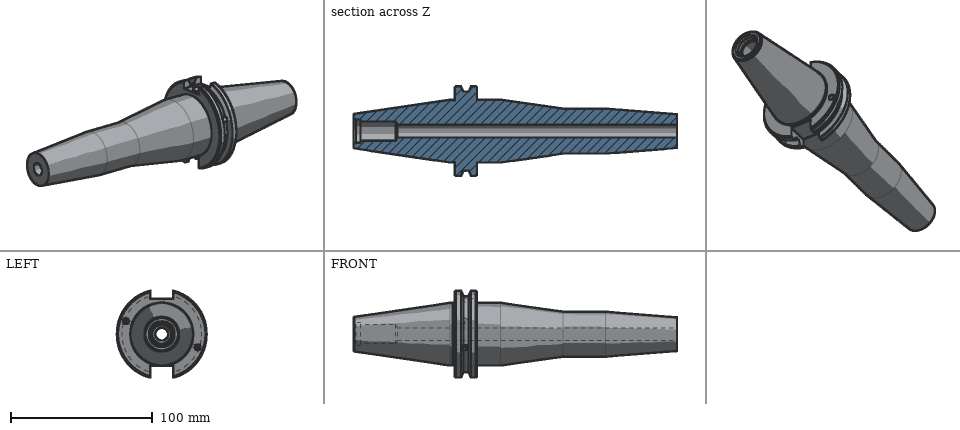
import cadquery as cq
import math

total_length = 228.2
taper_end = 68.2
neck_start = 69.8
flange_start = 71.5
groove_centre = 79.5
flange_end = 87.2
body_end = 103.9
shank_start = 148.0
shank_end = 177.8

taper_small_dia = 24.7
body_dia = 44.5
neck_dia = 43.5
flange_dia = 63.5
groove_dia = 56.1
shank_dia = 32.0
nose_dia = 24.0

end_chamfer = 1.0
flange_chamfer = 1.0
groove_mouth_width = 7.0
groove_floor_width = 3.7

slot_width = 16.2
upper_slot_floor = 25.0
lower_slot_floor = 22.4
dimple_dia = 9.5
dimple_depth = 2.7

mouth_dia = 18.3
mouth_chamfer_angle = math.radians(30)
counterbore_dia = 16.2
counterbore_depth = 5.0
thread_bore_dia = 13.5
thread_bore_depth = 29.7
through_dia = 9.0
drill_tip_angle = math.radians(60)

coolant_angle = 20.0
coolant_circle_radius = 27.0
axial_hole_dia = 4.0
radial_hole_dia = 3.2
channel_dia = 2.0
channel_length = 3.5


def revolve_about_x(profile):
    """Revolve an (x, radius) outline about the X axis."""
    return cq.Workplane("XY").polyline(profile).close().revolve(360, (0, 0, 0), (1, 0, 0))


def make_body():
    taper_radius = taper_small_dia / 2
    flange_radius = flange_dia / 2
    groove_radius = groove_dia / 2
    mouth_half = groove_mouth_width / 2
    floor_half = groove_floor_width / 2
    return revolve_about_x([
        (0, 0),
        (0, taper_radius - end_chamfer),
        (end_chamfer, taper_radius),
        (taper_end, body_dia / 2),
        (neck_start, body_dia / 2),
        (neck_start, neck_dia / 2),
        (flange_start, neck_dia / 2),
        (flange_start, flange_radius - flange_chamfer),
        (flange_start + flange_chamfer, flange_radius),
        (groove_centre - mouth_half, flange_radius),
        (groove_centre - floor_half, groove_radius),
        (groove_centre + floor_half, groove_radius),
        (groove_centre + mouth_half, flange_radius),
        (flange_end - flange_chamfer, flange_radius),
        (flange_end, flange_radius - flange_chamfer),
        (flange_end, body_dia / 2),
        (body_end, body_dia / 2),
        (shank_start, shank_dia / 2),
        (shank_end, shank_dia / 2),
        (total_length, nose_dia / 2),
        (total_length, 0),
    ])


def make_bore():
    mouth_depth = (mouth_dia - counterbore_dia) / 2 / math.tan(mouth_chamfer_angle)
    tip_length = (thread_bore_dia - through_dia) / 2 / math.tan(drill_tip_angle)
    return revolve_about_x([
        (0, 0),
        (0, mouth_dia / 2),
        (mouth_depth, counterbore_dia / 2),
        (counterbore_depth, counterbore_dia / 2),
        (counterbore_depth, thread_bore_dia / 2),
        (thread_bore_depth, thread_bore_dia / 2),
        (thread_bore_depth + tip_length, through_dia / 2),
        (total_length, through_dia / 2),
        (total_length, 0),
    ])


def make_drive_slot(floor, side):
    """Slot across the flange; side is +1 for the top and -1 for the bottom."""
    height = flange_dia / 2
    bottom = floor if side > 0 else -floor - height
    return cq.Workplane("XY").box(
        flange_end - flange_start, slot_width, height, centered=(False, True, False)
    ).translate((flange_start, 0, bottom))


def make_dimple():
    """Conical recess in the floor of the upper drive slot."""
    cone = cq.Solid.makeCone(
        0, dimple_dia / 2, dimple_depth,
        cq.Vector(groove_centre, 0, upper_slot_floor - dimple_depth), cq.Vector(0, 0, 1),
    )
    return cq.Workplane(cone)


def make_coolant_holes(angle):
    """Axial hole from the flange face, the radial hole that meets it, and the inner channel."""
    radians = math.radians(angle)
    outward = cq.Vector(0, math.cos(radians), math.sin(radians))
    hole_axis_point = outward * coolant_circle_radius
    axial = cq.Solid.makeCylinder(
        axial_hole_dia / 2, groove_centre - flange_start,
        hole_axis_point + cq.Vector(flange_start, 0, 0), cq.Vector(1, 0, 0),
    )
    meeting_point = hole_axis_point + cq.Vector(groove_centre, 0, 0)
    radial = cq.Solid.makeCylinder(
        radial_hole_dia / 2, flange_dia / 2 - coolant_circle_radius, meeting_point, outward,
    )
    channel = cq.Solid.makeCylinder(channel_dia / 2, channel_length, meeting_point, outward * -1)
    return cq.Workplane(axial).union(cq.Workplane(radial)).union(cq.Workplane(channel))


result = make_body().cut(make_bore())
result = result.cut(make_drive_slot(upper_slot_floor, 1))
result = result.cut(make_drive_slot(lower_slot_floor, -1))
result = result.cut(make_dimple())
for hole_angle in (coolant_angle, coolant_angle + 180):
    result = result.cut(make_coolant_holes(hole_angle))